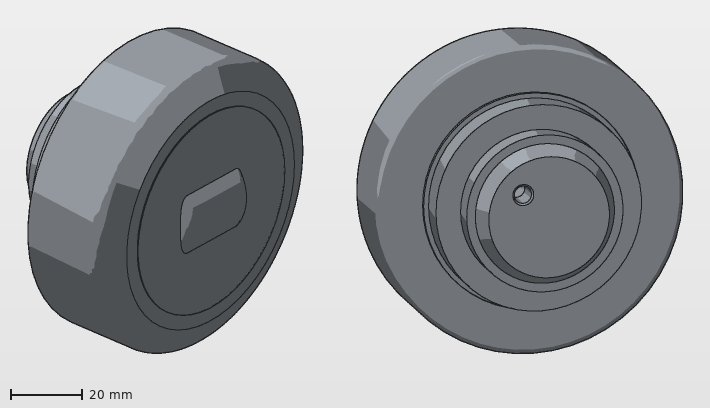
import cadquery as cq
import math

wheel_radius = 44.2
wheel_start = 23.4
wheel_end = 53.5
front_round = 1.6
rear_round = 3.1
rear_bevel_height = 8.8
rear_bevel_angle = 25.0

pin_tip_radius = 17.3
pin_cone_radius = 20.0
pin_cone_end = 5.3
pin_radius = 22.45
pin_end = 12.9
shoulder_radius = 29.5
shoulder_end = 22.1

ring_radius = 30.9
ring_end = 53.8

overall_length = 57.0
roller_radius = 15.0
roller_half_width = 13.0
roller_round = 2.9

hole_y = 7.4
hole_z = 6.7
hole_radius = 2.5
hole_mouth_radius = 3.0
hole_depth = 8.8
drill_point_angle = 118.0


def disc(start, end, radius):
    return cq.Workplane("YZ", origin=(start, 0, 0)).circle(radius).extrude(end - start)


def make_wheel():
    bevel_length = rear_bevel_height * math.tan(math.radians(rear_bevel_angle))
    profile = [
        (wheel_start, 0),
        (wheel_start, wheel_radius),
        (wheel_end - bevel_length, wheel_radius),
        (wheel_end, wheel_radius - rear_bevel_height),
        (wheel_end, 0),
    ]
    wheel = cq.Workplane("XY").polyline(profile).close().revolve(360, (0, 0, 0), (1, 0, 0))
    rim_box = cq.selectors.BoxSelector(
        (wheel_end - 1.5 * bevel_length, -2 * wheel_radius, -2 * wheel_radius),
        (wheel_end - 0.5 * bevel_length, 2 * wheel_radius, 2 * wheel_radius),
        boundingbox=True,
    )
    wheel = wheel.edges(rim_box).fillet(rear_round)
    return wheel.faces("<X").edges().fillet(front_round)


def make_pin():
    tip = (
        cq.Workplane("XY")
        .polyline([(0, 0), (0, pin_tip_radius), (pin_cone_end, pin_cone_radius), (pin_cone_end, 0)])
        .close()
        .revolve(360, (0, 0, 0), (1, 0, 0))
    )
    neck = disc(pin_cone_end, pin_end, pin_radius)
    shoulder = disc(pin_end, shoulder_end, shoulder_radius)
    return tip.union(neck).union(shoulder)


def make_roller():
    return (
        cq.Workplane("XZ", origin=(overall_length - roller_radius, 0, 0))
        .circle(roller_radius)
        .extrude(roller_half_width, both=True)
        .edges("%CIRCLE")
        .fillet(roller_round)
    )


def make_hole():
    countersink_depth = hole_mouth_radius - hole_radius
    point_depth = hole_radius / math.tan(math.radians(drill_point_angle / 2))
    profile = [
        (0, 0),
        (0, hole_mouth_radius),
        (countersink_depth, hole_radius),
        (hole_depth, hole_radius),
        (hole_depth + point_depth, 0),
    ]
    cutter = cq.Workplane("XY").polyline(profile).close().revolve(360, (0, 0, 0), (1, 0, 0))
    return cutter.translate((0, hole_y, hole_z))


inner_ring = disc(shoulder_end, ring_end, ring_radius)
result = make_pin().union(inner_ring).union(make_wheel()).union(make_roller()).cut(make_hole())